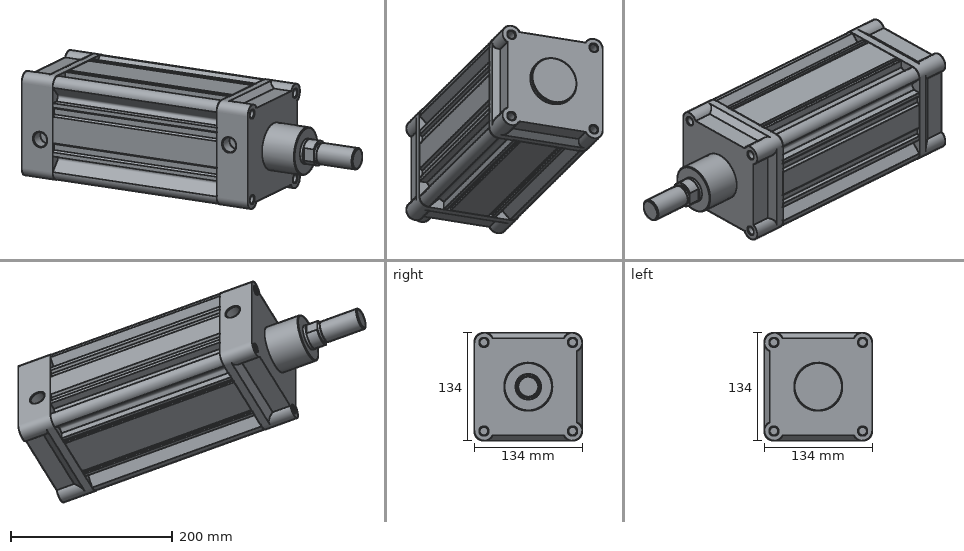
import cadquery as cq
import math


cap_length = 44.0
barrel_length = 232.5
rear_boss_length = 6.0
front_boss_length = 46.0
rod_length = 73.0
barrel_start = cap_length
barrel_end = barrel_start + barrel_length
front_face = barrel_end + cap_length
rod_start = front_face + front_boss_length

cap_width = 134.0
cap_half_width = cap_width / 2
cap_corner_radius = 12.0
corner_center = cap_half_width - cap_corner_radius
barrel_width = 133.0
barrel_half_width = barrel_width / 2
barrel_corner_radius = barrel_half_width - corner_center

channel_inner = 34.3
channel_outer = 54.5
tube_radius = 66.5
channel_fillet = 3.0
tool_margin = 4.5

top_groove_inner = 25.0
top_groove_outer = 30.3
side_groove_inner = 17.0
side_groove_outer = 29.0
side_groove_taper = 2.2
groove_depth = 3.5

boss_diameter = 60.0
boss_chamfer = 1.0
recess_depth = 6.5
recess_floor_length = 24.0
recess_slope_length = 9.5
screw_hole_diameter = 10.2
screw_hole_depth = 26.5
port_diameter = 18.5
port_depth = 18.0
port_inset = 26.3
port_height = 14.5
hole_chamfer = 1.0
chamfer_angle = 90

collar_diameter = 32.0
collar_length = 3.5
wrench_diameter = 31.5
flats_offset = 4.5
flats_width = 27.0
flats_length = 14.0
neck_diameter = 25.5
neck_length = 4.0
thread_diameter = 27.0
thread_chamfer = 1.5


def channel_profile():
    """Channel section in the YZ plane, on the +Z side at positive Y.

    Its bottom follows the tube wall around the bore, then a concave fillet
    leads into a 45 degree wall that rises to the corner lobe.
    """
    wall_offset = barrel_half_width - channel_outer
    center_distance = tube_radius + channel_fillet
    center_offset = wall_offset + channel_fillet * math.sqrt(2)
    fillet_y = (math.sqrt(2 * center_distance**2 - center_offset**2) - center_offset) / 2
    fillet_z = fillet_y + center_offset
    tube_touch = (fillet_y * tube_radius / center_distance, fillet_z * tube_radius / center_distance)
    wall_touch = (
        fillet_y + channel_fillet * math.sqrt(0.5),
        fillet_z - channel_fillet * math.sqrt(0.5),
    )
    touch_angle = math.atan2(fillet_y, fillet_z)
    middle_direction = (touch_angle + math.pi + 3 * math.pi / 4) / 2
    fillet_middle = (
        fillet_y + channel_fillet * math.sin(middle_direction),
        fillet_z + channel_fillet * math.cos(middle_direction),
    )
    tube_edge_angle = math.asin(channel_inner / tube_radius)
    middle_angle = (tube_edge_angle + touch_angle) / 2
    return (
        cq.Workplane("YZ", origin=(barrel_start, 0, 0))
        .moveTo(channel_inner, barrel_half_width + tool_margin)
        .lineTo(channel_inner, tube_radius * math.cos(tube_edge_angle))
        .threePointArc(
            (tube_radius * math.sin(middle_angle), tube_radius * math.cos(middle_angle)),
            tube_touch,
        )
        .threePointArc(fillet_middle, wall_touch)
        .lineTo(channel_outer, barrel_half_width)
        .lineTo(channel_outer, barrel_half_width + tool_margin)
        .close()
    )


def groove_profile(inner, outer, taper):
    """Panel groove section on the +Z side at positive Y, narrowing by the taper on both walls."""
    return cq.Workplane("YZ", origin=(barrel_start, 0, 0)).polyline(
        [
            (inner, barrel_half_width),
            (outer, barrel_half_width),
            (outer - taper, barrel_half_width - groove_depth),
            (inner + taper, barrel_half_width - groove_depth),
        ]
    ).close()


def cut_side(body, tool, quarter_turn):
    """Cut a +Z side tool and its mirror image into the side at the given angle."""
    for cutter in (tool, tool.mirror("XZ")):
        body = body.cut(cutter.rotate((0, 0, 0), (1, 0, 0), quarter_turn))
    return body


def make_barrel():
    body = (
        cq.Workplane("YZ", origin=(barrel_start, 0, 0))
        .rect(barrel_width, barrel_width)
        .extrude(barrel_length)
        .edges("|X")
        .fillet(barrel_corner_radius)
    )
    channel = channel_profile().extrude(barrel_length)
    top_groove = groove_profile(top_groove_inner, top_groove_outer, 0).extrude(barrel_length)
    side_groove = groove_profile(side_groove_inner, side_groove_outer, side_groove_taper)
    side_groove = side_groove.extrude(barrel_length)
    for quarter_turn in (0, 90, 180, 270):
        body = cut_side(body, channel, quarter_turn)
        groove = top_groove if quarter_turn in (0, 180) else side_groove
        body = cut_side(body, groove, quarter_turn)
    return body


def cap_block():
    """Square block with a sloped recess in three sides and a round screw lobe at each corner."""
    core = 2 * corner_center
    body = cq.Workplane("YZ").rect(core, cap_width).extrude(cap_length)
    body = body.union(cq.Workplane("YZ").rect(cap_width, core).extrude(cap_length))
    floor = cap_half_width - recess_depth
    slope_end = recess_floor_length + recess_slope_length
    recess = (
        cq.Workplane("XZ", origin=(0, corner_center, 0))
        .polyline(
            [
                (0, cap_half_width),
                (0, floor),
                (recess_floor_length, floor),
                (slope_end, cap_half_width),
            ]
        )
        .close()
        .extrude(core)
    )
    for angle in (0, -90, 180):
        body = body.cut(recess.rotate((0, 0, 0), (1, 0, 0), angle))
    lobes = (
        cq.Workplane("YZ")
        .rect(core, core, forConstruction=True)
        .vertices()
        .circle(cap_corner_radius)
        .extrude(cap_length)
    )
    return body.union(lobes)


def make_cap(boss_length, port_z):
    """End cap with its outer face at X = 0 and its inner face at X = cap_length."""
    body = cap_block()
    screw_mouth = screw_hole_diameter + 2 * hole_chamfer
    port_mouth = port_diameter + 2 * hole_chamfer
    body = (
        body.faces("<X").workplane(origin=(0, 0, 0))
        .rect(2 * corner_center, 2 * corner_center, forConstruction=True)
        .vertices()
        .cskHole(screw_hole_diameter, screw_mouth, chamfer_angle, screw_hole_depth)
    )
    body = (
        body.faces("<Y").workplane(origin=(port_inset, -cap_half_width, port_z))
        .cskHole(port_diameter, port_mouth, chamfer_angle, port_depth)
    )
    boss = (
        cq.Workplane("YZ")
        .circle(boss_diameter / 2)
        .extrude(-boss_length)
        .faces("<X")
        .chamfer(boss_chamfer)
    )
    return body.union(boss)


def make_rear_cap():
    return make_cap(rear_boss_length, -port_height)


def make_front_cap():
    cap = make_cap(front_boss_length, port_height)
    return cap.mirror("YZ").translate((front_face, 0, 0))


def make_rod():
    collar_radius = collar_diameter / 2
    wrench_radius = wrench_diameter / 2
    neck_radius = neck_diameter / 2
    thread_radius = thread_diameter / 2
    collar_end = rod_start + collar_length
    flats_start = rod_start + flats_offset
    flats_end = flats_start + flats_length
    thread_start = flats_end + neck_length
    rod_end = rod_start + rod_length
    thread_step = thread_radius - neck_radius
    rod = (
        cq.Workplane("XY")
        .polyline(
            [
                (rod_start, 0),
                (rod_start, collar_radius),
                (collar_end, collar_radius),
                (collar_end, wrench_radius),
                (flats_end, wrench_radius),
                (flats_end, neck_radius),
                (thread_start - thread_step, neck_radius),
                (thread_start, thread_radius),
                (rod_end - thread_chamfer, thread_radius),
                (rod_end, thread_radius - thread_chamfer),
                (rod_end, 0),
            ]
        )
        .close()
        .revolve(360, (0, 0, 0), (1, 0, 0))
    )
    flat_cut_depth = (wrench_diameter - flats_width) / 2
    for side in (-1, 1):
        flat_center = (flats_start + flats_length / 2, side * (flats_width + flat_cut_depth) / 2, 0)
        flat_cut = cq.Workplane("XY", origin=flat_center).box(flats_length, flat_cut_depth, wrench_diameter)
        rod = rod.cut(flat_cut)
    return rod


barrel = make_barrel()
rear_cap = make_rear_cap()
front_cap = make_front_cap()
rod = make_rod()

result = cq.Compound.makeCompound(
    [
        *barrel.solids().vals(),
        *rear_cap.solids().vals(),
        *front_cap.solids().vals(),
        *rod.solids().vals(),
    ]
)